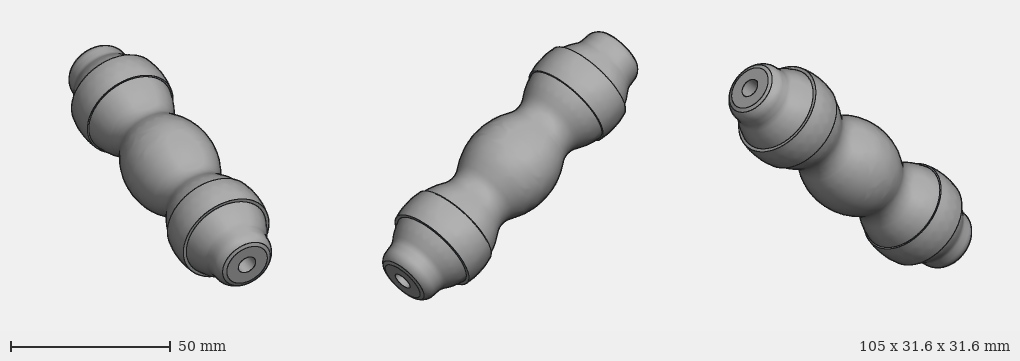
import cadquery as cq

length = 105.0
half_length = length / 2
bore_radius = 3.0

middle_crown_radius = 15.0
middle_half_width = 11.9

neck_radius = 10.6
neck_edge_radius = 11.8
neck_half_width = 4.1
neck_center = middle_half_width + neck_half_width

bulb_center = 32.8
bulb_crown_radius = 15.0
bulb_inner_end = neck_center + neck_half_width
bulb_outer_end = 44.4
bulb_outer_radius = 11.0

band_half_width = 5.5
band_crown_radius = 15.8
band_edge_radius = 15.1

collar_inner_end = 46.1
collar_inner_radius = 10.4
flare_middle_x = (bulb_outer_end + collar_inner_end) / 2
flare_middle_radius = 10.6
collar_outer_end = 48.9
collar_outer_radius = 10.1
nose_middle_x = 50.7
nose_middle_radius = 9.6
nose_tip_x = 52.1
nose_tip_radius = 8.4
end_face_radius = 7.1


def revolve_about_x(profile):
    """Turn a closed XY profile a full revolution about the X axis."""
    return profile.revolve(360, (0, 0, 0), (1, 0, 0))


def make_handle():
    """Bored handle body; the end bulbs run on underneath the bands."""
    profile = cq.Workplane("XY").moveTo(-half_length, bore_radius).lineTo(-half_length, end_face_radius)

    profile = (
        profile.lineTo(-nose_tip_x, nose_tip_radius)
        .threePointArc((-nose_middle_x, nose_middle_radius), (-collar_outer_end, collar_outer_radius))
        .lineTo(-collar_inner_end, collar_inner_radius)
        .threePointArc((-flare_middle_x, flare_middle_radius), (-bulb_outer_end, bulb_outer_radius))
        .threePointArc((-bulb_center, bulb_crown_radius), (-bulb_inner_end, neck_edge_radius))
        .threePointArc((-neck_center, neck_radius), (-middle_half_width, neck_edge_radius))
    )

    profile = profile.threePointArc((0, middle_crown_radius), (middle_half_width, neck_edge_radius))

    profile = (
        profile.threePointArc((neck_center, neck_radius), (bulb_inner_end, neck_edge_radius))
        .threePointArc((bulb_center, bulb_crown_radius), (bulb_outer_end, bulb_outer_radius))
        .threePointArc((flare_middle_x, flare_middle_radius), (collar_inner_end, collar_inner_radius))
        .lineTo(collar_outer_end, collar_outer_radius)
        .threePointArc((nose_middle_x, nose_middle_radius), (nose_tip_x, nose_tip_radius))
        .lineTo(half_length, end_face_radius)
        .lineTo(half_length, bore_radius)
    )
    return revolve_about_x(profile.close())


def make_band(center_x, handle):
    """Convex band centred at center_x, its inside matching the handle's surface."""
    left = center_x - band_half_width
    right = center_x + band_half_width
    profile = (
        cq.Workplane("XY")
        .moveTo(left, 0)
        .lineTo(left, band_edge_radius)
        .threePointArc((center_x, band_crown_radius), (right, band_edge_radius))
        .lineTo(right, 0)
        .close()
    )
    bore = cq.Workplane("YZ", origin=(left, 0, 0)).circle(bore_radius).extrude(2 * band_half_width)
    return revolve_about_x(profile).cut(bore).cut(handle)


handle = make_handle()
bands = [make_band(side * bulb_center, handle) for side in (-1, 1)]

result = cq.Compound.makeCompound([handle.val(), *[band.val() for band in bands]])